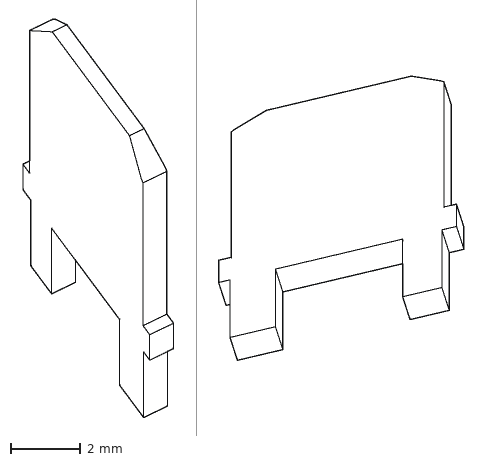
import cadquery as cq

height = 12.37
thickness = 0.8
shoulder_width = 7.11

blade_width = 6.36
tip_width = 4.33
corner_height = 1.0

bevel_height = 0.9
tip_thickness = 0.5

shoulder_bottom = 3.19
shoulder_top = 4.43

left_leg_outer = -3.12
left_leg_inner = -1.94
right_leg_inner = 1.85
right_leg_outer = 3.22


def plate(x_start, x_end, z_start, z_end):
    """Full-thickness rectangular plate between the given X and Z limits."""
    return cq.Workplane("XY").box(
        x_end - x_start, thickness, z_end - z_start, centered=(False, True, False)
    ).translate((x_start, 0, z_start))


def make_blade():
    """Blade with clipped corners, intersected with its bevelled side profile."""
    corner_z = height - corner_height
    outline = (
        cq.Workplane("XZ")
        .polyline([
            (-blade_width / 2, shoulder_bottom),
            (blade_width / 2, shoulder_bottom),
            (blade_width / 2, corner_z),
            (tip_width / 2, height),
            (-tip_width / 2, height),
            (-blade_width / 2, corner_z),
        ])
        .close()
        .extrude(thickness / 2, both=True)
    )
    bevel_z = height - bevel_height
    side_profile = (
        cq.Workplane("YZ")
        .polyline([
            (-thickness / 2, shoulder_bottom),
            (thickness / 2, shoulder_bottom),
            (thickness / 2, bevel_z),
            (tip_thickness / 2, height),
            (-tip_thickness / 2, height),
            (-thickness / 2, bevel_z),
        ])
        .close()
        .extrude(blade_width / 2, both=True)
    )
    return outline.intersect(side_profile)


shoulders = plate(-shoulder_width / 2, shoulder_width / 2, shoulder_bottom, shoulder_top)

left_leg = plate(left_leg_outer, left_leg_inner, 0, shoulder_top)
right_leg = plate(right_leg_inner, right_leg_outer, 0, shoulder_top)

result = make_blade().union(shoulders).union(left_leg).union(right_leg).clean()